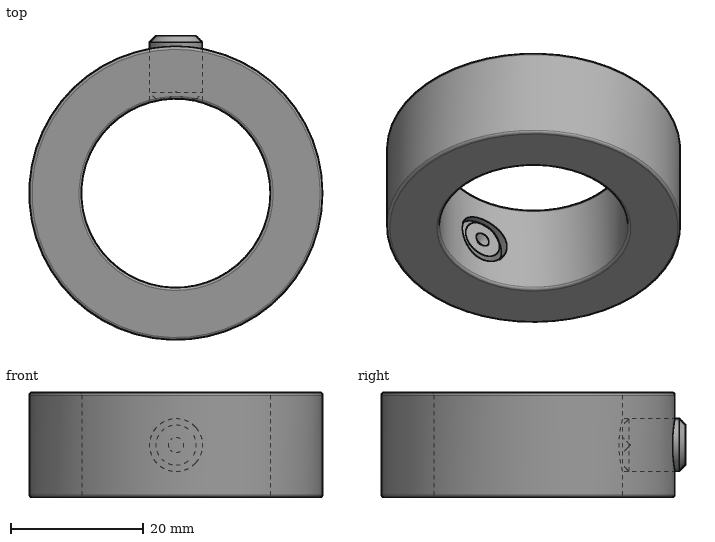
import cadquery as cq

ring_diameter = 44.45
ring_width = 15.9
bore_diameter = 28.55
edge_radius = 0.4

screw_diameter = 8.0
screw_chamfer = 0.95
overall_length = 46.05
screw_outer_y = overall_length - ring_diameter / 2
screw_inner_y = bore_diameter / 2
cup_diameter = 2.3
cup_depth = cup_diameter / 2


def radial_cylinder(diameter, start_y, end_y):
    """Cylinder along +Y, centred on the Y axis."""
    plane = cq.Plane(origin=(0, start_y, 0), xDir=(1, 0, 0), normal=(0, 1, 0))
    return cq.Workplane(plane).circle(diameter / 2).extrude(end_y - start_y)


def make_collar():
    """Rounded ring with a radial through hole for the set screw."""
    ring = (
        cq.Workplane("XY")
        .circle(ring_diameter / 2)
        .circle(bore_diameter / 2)
        .extrude(ring_width)
        .translate((0, 0, -ring_width / 2))
        .faces("|Z")
        .edges()
        .fillet(edge_radius)
    )
    screw_hole = radial_cylinder(screw_diameter, 0, screw_outer_y)
    return ring.cut(screw_hole)


def make_set_screw():
    """Cylinder chamfered at both ends, with a conical cup in its inner end."""
    body = radial_cylinder(screw_diameter, screw_inner_y, screw_outer_y)
    body = body.faces("|Y").edges().chamfer(screw_chamfer)
    cup = cq.Solid.makeCone(
        cup_diameter / 2,
        0,
        cup_depth,
        pnt=cq.Vector(0, screw_inner_y, 0),
        dir=cq.Vector(0, 1, 0),
    )
    return body.cut(cq.Workplane(cup))


collar = make_collar()
set_screw = make_set_screw()

result = cq.Compound.makeCompound([collar.val(), set_screw.val()])